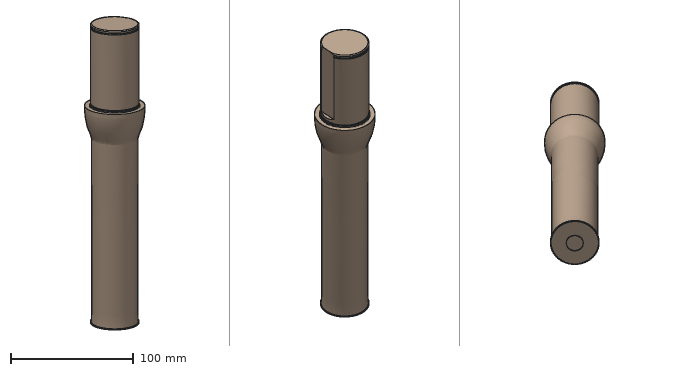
import cadquery as cq
import math

total_length = 258.0

neck_radius = 38.5 / 2
grip_radius = 38.0 / 2
collar_radius = 49.5 / 2
flange_radius = 40.0 / 2

pad_radius = 7.0
pad_height = 0.8
flange_chamfer = 0.5
flange_top = 1.8
flare_top = 11.5
taper_bottom = 85.7
taper_top = 155.3
collar_bottom = 159.7
collar_rim_bottom = 184.0
collar_top = 187.8

flare_end_radius = 38.7 / 2
flare_width = flare_end_radius - grip_radius
flare_height = flare_top - flange_top

flank_width = collar_radius - neck_radius
flank_height = collar_rim_bottom - collar_bottom
flank_angle = 2 * math.atan(flank_width / flank_height)
blend_height = 3.0
blend_width = blend_height * math.tan(flank_angle / 2)

socket_radius = 20.6
socket_depth = 1.3
socket_floor = collar_top - socket_depth

shaft_radius = 40.0 / 2
groove_radius = 39.5 / 2
shaft_top_radius = 38.0 / 2
top_chamfer_height = 0.8
top_groove_height = 1.0
top_groove_bottom = total_length - 3.4
foot_groove_height = 1.0
foot_groove_bottom = collar_top + 0.8

flat_offset = 18.3
flat_bottom = collar_top + 6.2


def make_housing():
    """Tube with a foot flange and pad, a tapered grip and a flared collar."""
    flank_bend = (neck_radius + blend_width, collar_bottom + blend_height)
    flank_slope = (math.sin(flank_angle), math.cos(flank_angle))
    vertical = (0, 1)
    profile = (
        cq.Workplane("XZ")
        .moveTo(0, 0)
        .lineTo(pad_radius, 0)
        .lineTo(pad_radius, pad_height)
        .lineTo(flange_radius - flange_chamfer, pad_height)
        .lineTo(flange_radius, pad_height + flange_chamfer)
        .lineTo(flange_radius, flange_top)
        .lineTo(flare_end_radius, flange_top)
        .threePointArc(
            (grip_radius + flare_width / 4, flange_top + flare_height / 2),
            (grip_radius, flare_top),
        )
        .lineTo(grip_radius, taper_bottom)
        .lineTo(neck_radius, taper_top)
        .lineTo(neck_radius, collar_bottom)
        .spline(
            [flank_bend, (collar_radius, collar_rim_bottom)],
            tangents=[vertical, flank_slope, vertical],
            includeCurrent=True,
        )
        .lineTo(collar_radius, collar_top)
        .lineTo(socket_radius, collar_top)
        .lineTo(socket_radius, socket_floor)
        .lineTo(0, socket_floor)
        .close()
    )
    return profile.revolve(360, (0, 0, 0), (0, 1, 0))


def make_groove(bottom, height):
    """Ring that cuts a shallow groove around the shaft."""
    return (
        cq.Workplane("XY")
        .workplane(offset=bottom)
        .circle(collar_radius)
        .circle(groove_radius)
        .extrude(height)
    )


def make_flat_cutter():
    """Block beyond the flat, with its lower end sloping down and outward."""
    reach = collar_radius - flat_offset
    return (
        cq.Workplane("YZ")
        .moveTo(flat_offset, flat_bottom)
        .lineTo(collar_radius, flat_bottom - reach)
        .lineTo(collar_radius, total_length)
        .lineTo(flat_offset, total_length)
        .close()
        .extrude(collar_radius, both=True)
    )


def make_shaft():
    """Cylinder standing in the socket, with a chamfered top, two grooves and a flat."""
    shaft = (
        cq.Workplane("XZ")
        .moveTo(0, socket_floor)
        .lineTo(shaft_radius, socket_floor)
        .lineTo(shaft_radius, total_length - top_chamfer_height)
        .lineTo(shaft_top_radius, total_length)
        .lineTo(0, total_length)
        .close()
        .revolve(360, (0, 0, 0), (0, 1, 0))
    )
    shaft = shaft.cut(make_groove(top_groove_bottom, top_groove_height))
    shaft = shaft.cut(make_groove(foot_groove_bottom, foot_groove_height))
    return shaft.cut(make_flat_cutter())


housing = make_housing()
shaft = make_shaft()

result = cq.Compound.makeCompound([housing.val(), shaft.val()])